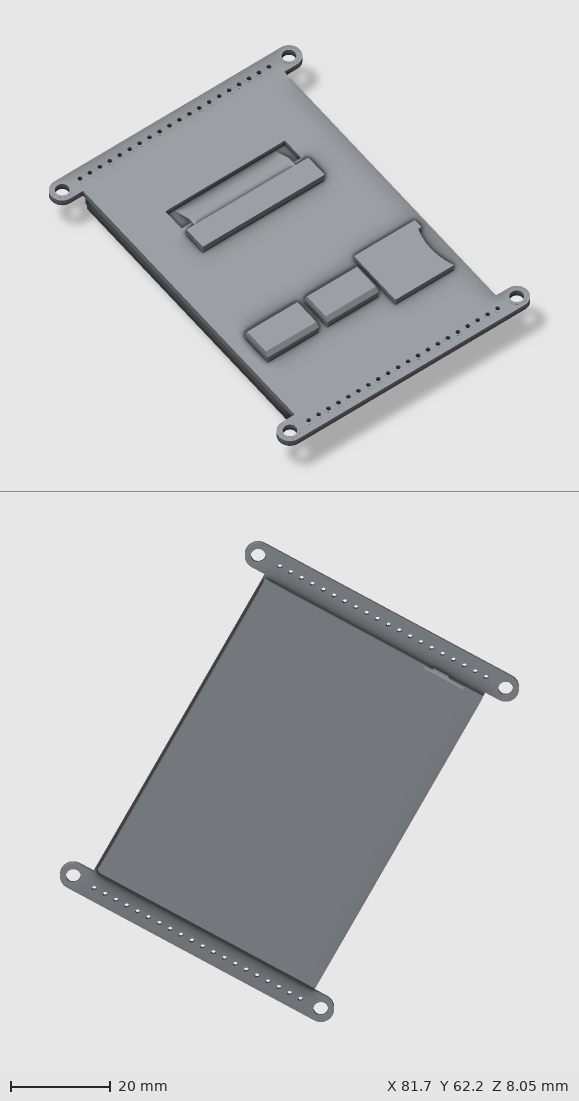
import cadquery as cq

BOARD_LENGTH = 81.7
BOARD_WIDTH = 50.5
BOARD_THICKNESS = 1.55
EAR_SPAN = 62.2
EAR_RADIUS = 2.7
EAR_X = BOARD_LENGTH / 2 - EAR_RADIUS
EAR_Y = EAR_SPAN / 2 - EAR_RADIUS

PAD_HEIGHT = 0.04
MOUNT_HOLE_RADIUS = 1.5
MOUNT_PAD_RADIUS = 2.05
PIN_COUNT = 20
PIN_X = 38.3
PIN_FIRST_Y = -23.85
PIN_SPAN = 47.4
PIN_HOLE_RADIUS = 0.5
PIN_PAD_RADIUS = 1.0

FRAME_LENGTH = 69.1
FRAME_WIDTH = 50.0
FRAME_HEIGHT = 2.4
FRAME_X = -0.3
GLASS_INSET = 0.2
GLASS_HEIGHT = 1.5
DISPLAY_HEIGHT = FRAME_HEIGHT + GLASS_HEIGHT
FRAME_LEFT = FRAME_X - FRAME_LENGTH / 2
GLASS_LEFT = FRAME_LEFT + GLASS_INSET

TAIL_Y = -15.3
TAIL_WIDTH = 3.35
TAIL_FLARE_RADIUS = 1.1
TAIL_BULGE = 0.3
TAIL_ROOT = 0.4
FOOT_Y_MIN = -20.5
FOOT_Y_MAX = -11.5
FOOT_TOP = -2.9
FOOT_BOTTOM = -3.6

SLOT_X_MIN = -21.4
SLOT_X_MAX = -15.9
SLOT_Y_MIN = -15.1
SLOT_Y_MAX = 14.9
RIBBON_Y_MIN = -13.0
RIBBON_Y_MAX = 12.3
RIBBON_THICKNESS = 0.1
RIBBON_RISE = 1.15
RIBBON_BEND_X = -16.6
RIBBON_BEND_RADIUS = 1.3
CONNECTOR_X_MIN = -13.9
CONNECTOR_LENGTH = 5.5
CONNECTOR_Y_MIN = -15.4
CONNECTOR_WIDTH = 30.55
CONNECTOR_HEIGHT = 2.05

CHIP_X_MIN = 14.1
CHIP_X_MAX = 21.7
CHIP_WIDTH = 12.8
CHIP_Y_MINS = (-21.7, -6.8)
CHIP_HEIGHT = 2.6
CHIP_SHOULDER = 1.7
CHIP_LEFT_BEVEL = 0.4
CHIP_RIGHT_BEVEL = 0.9
CHIP_FRONT_BEVEL = 0.25

SOCKET_X_MIN = 11.4
SOCKET_X_MAX = 25.3
SOCKET_Y_MIN = 7.6
SOCKET_Y_MAX = 22.9
SOCKET_HEIGHT = 1.7
RAIL_X = 13.6
CUT_LEFT_Y = 22.05
CUT_RIGHT_Y = 22.3
CUT_LOW_X = 19.35
CUT_LOW_Y = 21.1


def box(x_min, x_max, y_min, y_max, z_min, z_max):
    size = (x_max - x_min, y_max - y_min, z_max - z_min)
    return cq.Workplane("XY").box(*size, centered=False).translate((x_min, y_min, z_min))


def make_board():
    board = cq.Workplane("XY").box(BOARD_LENGTH, BOARD_WIDTH, BOARD_THICKNESS, centered=(True, True, False))
    for x in (-EAR_X, EAR_X):
        strip = box(x - EAR_RADIUS, x + EAR_RADIUS, -EAR_Y, EAR_Y, 0, BOARD_THICKNESS)
        board = board.union(strip)
    ears = cq.Workplane("XY").pushPoints(mount_points()).circle(EAR_RADIUS).extrude(BOARD_THICKNESS)
    slot = box(SLOT_X_MIN, SLOT_X_MAX, SLOT_Y_MIN, SLOT_Y_MAX, 0, BOARD_THICKNESS)
    return board.union(ears).cut(slot)


def mount_points():
    return [(x, y) for x in (-EAR_X, EAR_X) for y in (-EAR_Y, EAR_Y)]


def pin_points(side):
    pitch = PIN_SPAN / (PIN_COUNT - 1)
    return [(side * PIN_X, PIN_FIRST_Y + i * pitch) for i in range(PIN_COUNT)]


def add_pads_and_holes(board):
    """Add thin pads on both board faces, then drill through them; each pin row starts with a square pad."""
    pins = [pin_points(side) for side in (-1, 1)]
    square_points = [row[0] for row in pins]
    round_points = [point for row in pins for point in row[1:]]
    pad_span = BOARD_THICKNESS + 2 * PAD_HEIGHT
    pad_plane = cq.Workplane("XY").workplane(offset=-PAD_HEIGHT)

    def drill(points, radius):
        return pad_plane.pushPoints(points).circle(radius).extrude(pad_span)

    pads = pad_plane.pushPoints(square_points).rect(2 * PIN_PAD_RADIUS, 2 * PIN_PAD_RADIUS).extrude(pad_span)
    board = board.union(drill(mount_points(), MOUNT_PAD_RADIUS))
    board = board.union(drill(round_points, PIN_PAD_RADIUS)).union(pads)
    board = board.cut(drill(mount_points(), MOUNT_HOLE_RADIUS))
    return board.cut(drill(square_points + round_points, PIN_HOLE_RADIUS))


def make_display():
    frame = cq.Workplane("XY").center(FRAME_X, 0).rect(FRAME_LENGTH, FRAME_WIDTH).extrude(-FRAME_HEIGHT)
    glass = box(
        GLASS_LEFT, FRAME_LEFT + FRAME_LENGTH - GLASS_INSET,
        GLASS_INSET - FRAME_WIDTH / 2, FRAME_WIDTH / 2 - GLASS_INSET,
        -DISPLAY_HEIGHT, -FRAME_HEIGHT,
    )
    return frame.union(glass)


def make_tail():
    """Bulged strip that flares out into a wide foot at the bottom."""
    neck_min = TAIL_Y - TAIL_WIDTH / 2
    neck_max = TAIL_Y + TAIL_WIDTH / 2
    flare_top = FOOT_TOP + TAIL_FLARE_RADIUS
    inner_x = FRAME_LEFT + TAIL_ROOT
    outline = (
        cq.Workplane("YZ", origin=(inner_x, 0, 0))
        .moveTo(neck_min, 0)
        .lineTo(neck_min, flare_top)
        .radiusArc((neck_min - TAIL_FLARE_RADIUS, FOOT_TOP), TAIL_FLARE_RADIUS)
        .lineTo(FOOT_Y_MIN, FOOT_TOP)
        .lineTo(FOOT_Y_MIN, FOOT_BOTTOM)
        .lineTo(FOOT_Y_MAX, FOOT_BOTTOM)
        .lineTo(FOOT_Y_MAX, FOOT_TOP)
        .lineTo(neck_max + TAIL_FLARE_RADIUS, FOOT_TOP)
        .radiusArc((neck_max, flare_top), TAIL_FLARE_RADIUS)
        .lineTo(neck_max, 0)
        .close()
        .extrude(-2 * (TAIL_ROOT + TAIL_BULGE))
    )
    bulge = (
        cq.Workplane("XZ", origin=(0, FOOT_Y_MAX, 0))
        .moveTo(inner_x, 0)
        .lineTo(FRAME_LEFT, 0)
        .threePointArc((FRAME_LEFT - TAIL_BULGE, FOOT_BOTTOM / 2), (GLASS_LEFT, FOOT_BOTTOM))
        .lineTo(inner_x, FOOT_BOTTOM)
        .close()
        .extrude(FOOT_Y_MAX - FOOT_Y_MIN)
    )
    return outline.intersect(bulge)


def make_ribbon():
    """Thin sheet that climbs from the slot floor and runs level into the connector."""
    top = BOARD_THICKNESS + RIBBON_RISE
    sheet = (
        cq.Workplane("XZ", origin=(0, RIBBON_Y_MAX, 0))
        .moveTo(SLOT_X_MIN, 0)
        .lineTo(SLOT_X_MIN, RIBBON_THICKNESS)
        .lineTo(RIBBON_BEND_X, top)
        .lineTo(CONNECTOR_X_MIN, top)
        .lineTo(CONNECTOR_X_MIN, top - RIBBON_THICKNESS)
        .lineTo(RIBBON_BEND_X, top - RIBBON_THICKNESS)
        .close()
        .extrude(RIBBON_Y_MAX - RIBBON_Y_MIN)
    )
    bend_edges = cq.selectors.BoxSelector(
        (RIBBON_BEND_X - RIBBON_RISE, RIBBON_Y_MIN - RIBBON_RISE, BOARD_THICKNESS),
        (RIBBON_BEND_X + RIBBON_RISE, RIBBON_Y_MAX + RIBBON_RISE, top + RIBBON_RISE),
    )
    return sheet.edges("|Y").edges(bend_edges).fillet(RIBBON_BEND_RADIUS)


def make_connector():
    return box(
        CONNECTOR_X_MIN, CONNECTOR_X_MIN + CONNECTOR_LENGTH,
        CONNECTOR_Y_MIN, CONNECTOR_Y_MIN + CONNECTOR_WIDTH,
        BOARD_THICKNESS, BOARD_THICKNESS + CONNECTOR_HEIGHT,
    )


def make_chip(y_min):
    """Block bevelled on its -X, +X and -Y top edges; the +Y side stays square."""
    y_max = y_min + CHIP_WIDTH
    side_profile = (
        cq.Workplane("XZ", origin=(0, y_max, BOARD_THICKNESS))
        .moveTo(CHIP_X_MIN, 0)
        .lineTo(CHIP_X_MIN, CHIP_SHOULDER)
        .lineTo(CHIP_X_MIN + CHIP_LEFT_BEVEL, CHIP_HEIGHT)
        .lineTo(CHIP_X_MAX - CHIP_RIGHT_BEVEL, CHIP_HEIGHT)
        .lineTo(CHIP_X_MAX, CHIP_SHOULDER)
        .lineTo(CHIP_X_MAX, 0)
        .close()
        .extrude(CHIP_WIDTH)
    )
    front_bevel = (
        cq.Workplane("YZ", origin=(CHIP_X_MIN, y_min, BOARD_THICKNESS))
        .moveTo(0, CHIP_SHOULDER)
        .lineTo(CHIP_FRONT_BEVEL, CHIP_HEIGHT)
        .lineTo(0, CHIP_HEIGHT)
        .close()
        .extrude(CHIP_X_MAX - CHIP_X_MIN)
    )
    return side_profile.cut(front_bevel)


def make_socket():
    """Full-length rail along the -X side, flush with a body that has the curved finger cut."""
    return (
        cq.Workplane("XY", origin=(0, 0, BOARD_THICKNESS))
        .moveTo(SOCKET_X_MIN, SOCKET_Y_MIN)
        .lineTo(SOCKET_X_MIN, SOCKET_Y_MAX)
        .lineTo(RAIL_X, SOCKET_Y_MAX)
        .lineTo(RAIL_X, CUT_LEFT_Y)
        .threePointArc((CUT_LOW_X, CUT_LOW_Y), (SOCKET_X_MAX, CUT_RIGHT_Y))
        .lineTo(SOCKET_X_MAX, SOCKET_Y_MIN)
        .close()
        .extrude(SOCKET_HEIGHT)
    )


result = add_pads_and_holes(make_board())
parts = [make_display(), make_tail(), make_ribbon(), make_connector(), make_socket()]
parts += [make_chip(y_min) for y_min in CHIP_Y_MINS]
for part in parts:
    result = result.union(part)